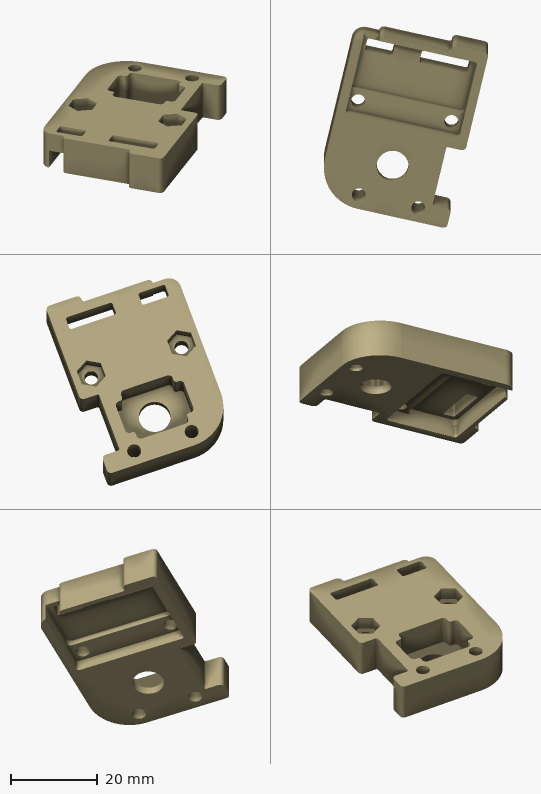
import cadquery as cq
import math

WIDTH = 31.0
LENGTH = 43.2
HEIGHT = 9.0

BIG_CORNER_R = 10.0
FRONT_LEFT_R = 2.8
EDGE_R = 1.0
INNER_R = 0.5
LEFT_FRONT_Y = 2.8
MIDDLE_FRONT_Y = 1.73
LEFT_STEP_X = 5.8
RIGHT_STEP_X = 22.55
SIDE_NOTCH_X = 26.55
SIDE_NOTCH_Y = (24.1, 38.55)
SIDE_NOTCH_R = 0.4

SCREW_D = 3.2
REAR_SCREW_X = (9.5, 23.55)
REAR_SCREW_Y = 39.87
NUT_INSET = 4.5
NUT_Y = 18.85
NUT_FLATS = 5.85
NUT_DEPTH = 3.0

POCKET_CENTER = (15.5, 31.35)
POCKET_SIZE = (16.65, 12.5)
POCKET_ARMS = (12.55, 8.1)
POCKET_FLOOR = 2.0
POCKET_R = 1.0
POCKET_INNER_R = 0.65
BORE_D = 7.3

SLOT_Y = (4.05, 7.1)
SLOT_SPANS_X = ((3.33, 9.85), (16.2, 27.55))
SLOT_R = 0.5

BAY_WALL = 2.07
BAY_REAR_Y = 21.3
BAY_HEIGHT = 3.02
BAY_R = 0.6
RECESS_REAR_Y = 15.95
RECESS_HEIGHT = 4.5
RECESS_R = 1.15


def rounded_prism(corners, bottom, top):
    """Prism over a polygon of (x, y, corner radius), from Z = bottom to Z = top."""
    stretches = []
    for i, (x, y, radius) in enumerate(corners):
        corner = cq.Vector(x, y)
        before = cq.Vector(*corners[i - 1][:2])
        after = cq.Vector(*corners[(i + 1) % len(corners)][:2])
        back = (before - corner).normalized()
        ahead = (after - corner).normalized()
        half_angle = back.getAngle(ahead) / 2
        tangent = radius / math.tan(half_angle)
        to_arc = radius / math.sin(half_angle) - radius
        middle = corner + (back + ahead).normalized() * to_arc
        stretches.append((corner + back * tangent, middle, corner + ahead * tangent, radius))

    first = stretches[0][0]
    sketch = cq.Workplane("XY").workplane(offset=bottom).moveTo(first.x, first.y)
    for i, (start, middle, end, radius) in enumerate(stretches):
        if i > 0:
            sketch = sketch.lineTo(start.x, start.y)
        if radius > 0:
            sketch = sketch.threePointArc((middle.x, middle.y), (end.x, end.y))
    return sketch.close().extrude(top - bottom)


def rounded_box(span_x, span_y, radius, bottom, top):
    """Box with its four vertical edges rounded."""
    x0, x1 = span_x
    y0, y1 = span_y
    corners = [(x0, y0, radius), (x1, y0, radius), (x1, y1, radius), (x0, y1, radius)]
    return rounded_prism(corners, bottom, top)


def plate():
    notch_front, notch_rear = SIDE_NOTCH_Y
    corners = [
        (0, LEFT_FRONT_Y, FRONT_LEFT_R),
        (LEFT_STEP_X, LEFT_FRONT_Y, 0),
        (LEFT_STEP_X, MIDDLE_FRONT_Y, EDGE_R),
        (RIGHT_STEP_X, MIDDLE_FRONT_Y, INNER_R),
        (RIGHT_STEP_X, 0, EDGE_R),
        (WIDTH, 0, EDGE_R),
        (WIDTH, notch_front, EDGE_R),
        (SIDE_NOTCH_X, notch_front, SIDE_NOTCH_R),
        (SIDE_NOTCH_X, notch_rear, SIDE_NOTCH_R),
        (WIDTH, notch_rear, EDGE_R),
        (WIDTH, LENGTH, EDGE_R),
        (0, LENGTH, BIG_CORNER_R),
    ]
    return rounded_prism(corners, 0, HEIGHT)


def pocket():
    center_x, center_y = POCKET_CENTER
    outer_x, outer_y = (size / 2 for size in POCKET_SIZE)
    arm_x, arm_y = (size / 2 for size in POCKET_ARMS)
    corners = []
    for side_x, side_y in ((1, 1), (-1, 1), (-1, -1), (1, -1)):
        quarter = [
            (center_x + side_x * outer_x, center_y + side_y * arm_y, POCKET_R),
            (center_x + side_x * arm_x, center_y + side_y * arm_y, POCKET_INNER_R),
            (center_x + side_x * arm_x, center_y + side_y * outer_y, POCKET_R),
        ]
        corners += quarter if side_x == side_y else quarter[::-1]
    bore = cq.Workplane("XY").center(center_x, center_y).circle(BORE_D / 2).extrude(HEIGHT)
    return rounded_prism(corners, POCKET_FLOOR, HEIGHT).union(bore)


def screw_holes():
    nut_points = [(NUT_INSET, NUT_Y), (WIDTH - NUT_INSET, NUT_Y)]
    rear_points = [(x, REAR_SCREW_Y) for x in REAR_SCREW_X]
    holes = cq.Workplane("XY").pushPoints(nut_points + rear_points).circle(SCREW_D / 2).extrude(HEIGHT)
    across_corners = NUT_FLATS / math.cos(math.pi / 6)
    for x, y in nut_points:
        nut = (
            cq.Workplane("XY", origin=(x, y, HEIGHT))
            .polygon(6, across_corners)
            .extrude(-NUT_DEPTH)
            .rotate((x, y, 0), (x, y, 1), 30)
        )
        holes = holes.union(nut)
    return holes


def underside_bay():
    span_x = (BAY_WALL, WIDTH - BAY_WALL)
    bay = rounded_box(span_x, (LEFT_FRONT_Y, BAY_REAR_Y), BAY_R, 0, BAY_HEIGHT)
    recess = rounded_box(span_x, (LEFT_FRONT_Y, RECESS_REAR_Y), RECESS_R, 0, RECESS_HEIGHT)
    mouth = rounded_box((BAY_WALL, LEFT_STEP_X), (0, LEFT_FRONT_Y + RECESS_R), 0, 0, RECESS_HEIGHT)
    return bay.union(recess).union(mouth)


result = plate().cut(pocket()).cut(screw_holes()).cut(underside_bay())
for slot_span_x in SLOT_SPANS_X:
    result = result.cut(rounded_box(slot_span_x, SLOT_Y, SLOT_R, 0, HEIGHT))